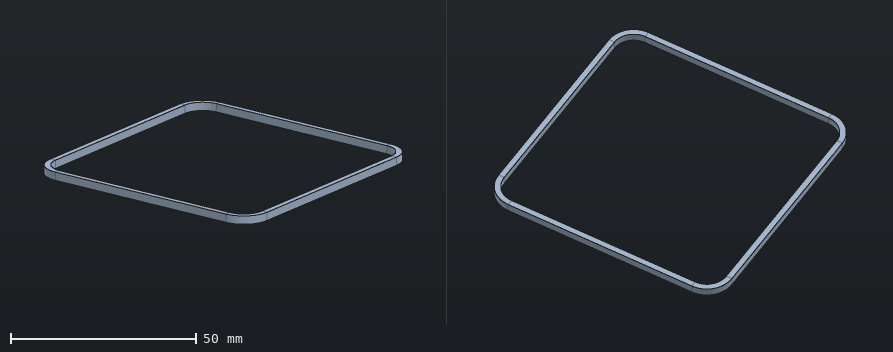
import cadquery as cq

outer_side = 73.7
height = 2.5
wall = 2.0
corner_radius = 7.95
crown_rise = 0.11
side_taper = 0.1

half_side = outer_side / 2
straight_half = half_side - corner_radius
shoulder_height = height - crown_rise


def wall_section(outer_face):
    """Wall profile in XZ: flat base, slightly tapered sides and a shallow crown."""
    inner_face = outer_face - wall
    outer_shoulder = (outer_face - side_taper, shoulder_height)
    inner_shoulder = (inner_face + side_taper, shoulder_height)
    crown_peak = (outer_face - wall / 2, height)
    return (
        cq.Workplane("XZ")
        .moveTo(inner_face, 0)
        .lineTo(outer_face, 0)
        .lineTo(*outer_shoulder)
        .threePointArc(crown_peak, inner_shoulder)
        .close()
    )


def straight_side():
    """Straight run of wall on the +X side, centred on the X axis."""
    return wall_section(half_side).extrude(straight_half, both=True)


def corner():
    """Quarter turn of wall, placed where it joins two neighbouring sides."""
    turn = wall_section(corner_radius).revolve(90, (0, 0), (0, 1))
    return turn.translate((straight_half, straight_half, 0))


result = cq.Workplane("XY")
for quarter in range(4):
    for piece in (straight_side(), corner()):
        result = result.union(piece.rotate((0, 0, 0), (0, 0, 1), 90 * quarter))